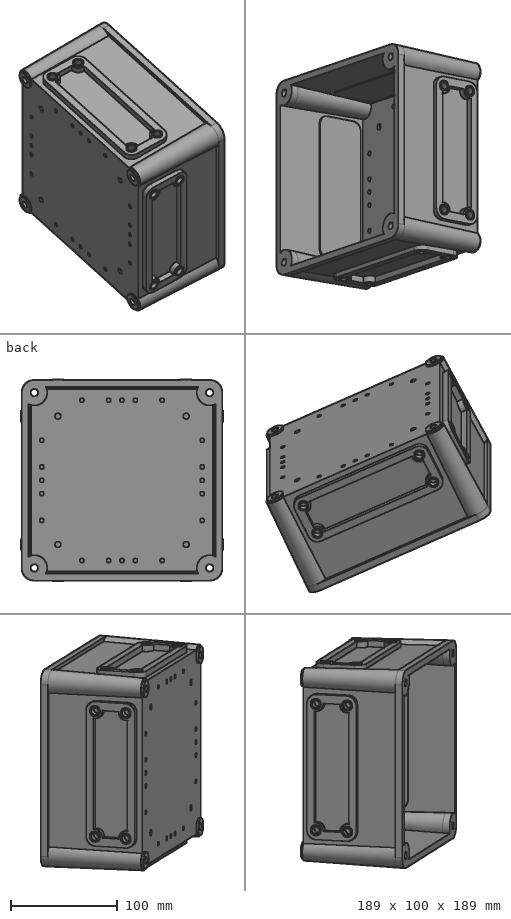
import cadquery as cq
import math

depth = 100.0
rim_width = 188.0
rim_depth = 7.0
foot_height = 2.0
foot_diameter = 16.0
screw_spacing = 164.0
screw_diameter = 6.7
base_width = 176.0
column_base_radius = 9.75
wall_draft = 2.5
wall_thickness = 3.0

frame_length = 138.0
frame_width = 48.0
frame_corner_radius = 9.0
frame_center_y = -18.8
entry_length = 121.6
entry_width = 33.6
boss_spacing_long = 120.0
boss_spacing_short = 30.4
boss_diameter = 10.0
boss_height = 0.5
boss_surround_radius = 7.0
boss_hole_diameter = 7.0
boss_hole_depth = 8.0

base_skin = 0.5
edge_hole_diameter = 4.0
edge_hole_offset = 75.0
edge_hole_positions = (-37.5, -12.5, 0.0, 12.5, 37.5)
corner_hole_diameter = 5.5
corner_hole_spacing = 120.0

rim_y = depth / 2
step_y = rim_y - rim_depth
foot_y = -depth / 2
base_y = foot_y + foot_height
wall_height = step_y - base_y
draft_angle = math.degrees(math.atan(wall_draft / wall_height))
rim_corner_radius = (rim_width - screw_spacing) / 2
frame_face = rim_width / 2
entry_floor = base_width / 2
base_inner_y = base_y + wall_thickness


def plane_at(y):
    """XZ plane at level y whose normal points to +Y."""
    return cq.Workplane(cq.Plane(origin=(0, y, 0), xDir=(1, 0, 0), normal=(0, 1, 0)))


def square_grid(spacing):
    return [(x, z) for x in (-spacing / 2, spacing / 2) for z in (-spacing / 2, spacing / 2)]


def cylinders(y, points, diameter, height):
    return plane_at(y).pushPoints(points).circle(diameter / 2).extrude(height)


def drafted_block(width, y, height):
    """Square block that widens towards +Y at the draft angle of the walls."""
    return plane_at(y).rect(width, width).extrude(height, taper=-draft_angle)


def make_shell():
    rim = plane_at(step_y).rect(rim_width, rim_width).extrude(rim_depth)
    rim = rim.edges("|Y").fillet(rim_corner_radius)
    outside = rim.union(drafted_block(base_width, base_y, wall_height))
    inner_width = base_width - 2 * wall_thickness
    return outside.cut(drafted_block(inner_width, base_inner_y, rim_y - base_inner_y))


def make_columns():
    """Conical screw columns in the corners, full depth, each ending in a foot."""
    columns = cylinders(foot_y, square_grid(screw_spacing), foot_diameter, foot_height)
    for x, z in square_grid(screw_spacing):
        base_center = cq.Vector(x, base_y, z)
        towards_rim = cq.Vector(0, 1, 0)
        cone = cq.Solid.makeCone(column_base_radius, rim_corner_radius, wall_height, base_center, towards_rim)
        columns = columns.union(cq.Workplane(cone))
    return columns.union(cylinders(step_y, square_grid(screw_spacing), 2 * rim_corner_radius, rim_depth))


def wall_plane(height):
    """Plane parallel to the +Z wall, at z = height and centred on its frame."""
    return cq.Workplane(cq.Plane(origin=(0, frame_center_y, height), xDir=(1, 0, 0), normal=(0, 0, 1)))


def boss_layout(height):
    return wall_plane(height).rect(boss_spacing_long, boss_spacing_short, forConstruction=True).vertices()


def make_frame():
    """Frame block and bosses on the +Z wall, reaching inwards far enough to back the entry recess."""
    frame_root = entry_floor - wall_thickness
    frame = wall_plane(frame_root).rect(frame_length, frame_width).extrude(frame_face - frame_root)
    frame = frame.edges("|Z").fillet(frame_corner_radius)
    return frame.union(boss_layout(frame_face).circle(boss_diameter / 2).extrude(boss_height))


def make_frame_openings():
    """Entry recess that leaves material around the bosses, and the boss holes."""
    recess_depth = frame_face - entry_floor
    recess = wall_plane(entry_floor).rect(entry_length, entry_width).extrude(recess_depth)
    recess = recess.cut(boss_layout(entry_floor).circle(boss_surround_radius).extrude(recess_depth))
    recess = recess.solids(cq.selectors.NearestToPointSelector((0, frame_center_y, entry_floor)))
    boss_top = frame_face + boss_height
    holes = boss_layout(boss_top).circle(boss_hole_diameter / 2).extrude(-boss_hole_depth)
    return recess.union(holes)


def make_base_holes():
    edge_points = []
    for along in edge_hole_positions:
        for across in (-edge_hole_offset, edge_hole_offset):
            edge_points += [(along, across), (across, along)]
    hole_y = base_y + base_skin
    hole_depth = base_inner_y - hole_y
    edge_holes = cylinders(hole_y, edge_points, edge_hole_diameter, hole_depth)
    corner_points = square_grid(corner_hole_spacing)
    return edge_holes.union(cylinders(hole_y, corner_points, corner_hole_diameter, hole_depth))


result = make_shell().union(make_columns())
for angle in (0, 90, 180, 270):
    result = result.union(make_frame().rotate((0, 0, 0), (0, 1, 0), angle))
    result = result.cut(make_frame_openings().rotate((0, 0, 0), (0, 1, 0), angle))
result = result.cut(make_base_holes())
result = result.cut(cylinders(foot_y, square_grid(screw_spacing), screw_diameter, depth))